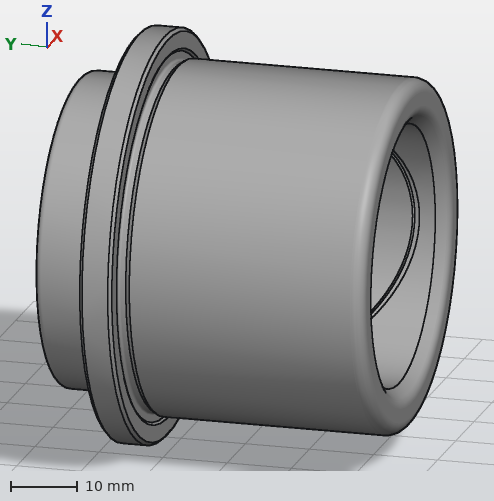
import cadquery as cq
import math


BORE_DIAMETER = 40.0
BODY_DIAMETER = 54.0
NECK_DIAMETER = 53.0
FLANGE_DIAMETER = 63.0
SPIGOT_DIAMETER = 48.0

OVERALL_LENGTH = 52.0
SPIGOT_LENGTH = 9.0
FLANGE_THICKNESS = 5.0
NECK_LENGTH = 0.9

BODY_FRONT_RADIUS = 2.0
BODY_BACK_CHAMFER_LENGTH = 0.7
FLANGE_CHAMFER = 0.5
SPIGOT_ROUND_RADIUS = 1.0

RELIEF_FLOOR_DIAMETER = 56.0
RELIEF_DIAMETER = 56.8
RELIEF_DEPTH = 0.3
RELIEF_ROUND_RADIUS = 0.4

MOUTH_CHAMFER = 2.0
MOUTH_ANGLE = math.radians(45)
MOUTH_ROUND_RADIUS = 2.0

GROOVE_CENTRE_Y = 23.0
GROOVE_HALF_TRAVEL = 18.0
GROOVE_WIDTH = 0.8
GROOVE_DEPTH = 0.3

BORE_RADIUS = BORE_DIAMETER / 2
BODY_RADIUS = BODY_DIAMETER / 2
NECK_RADIUS = NECK_DIAMETER / 2
FLANGE_RADIUS = FLANGE_DIAMETER / 2
SPIGOT_RADIUS = SPIGOT_DIAMETER / 2
FLANGE_BACK = OVERALL_LENGTH - SPIGOT_LENGTH
FLANGE_FRONT = FLANGE_BACK - FLANGE_THICKNESS
RELIEF_FLOOR = FLANGE_FRONT + RELIEF_DEPTH
NECK_FRONT = FLANGE_FRONT - NECK_LENGTH


def revolve_about_axis(profile):
    """Turn a closed X-Y half profile around the Y axis."""
    return profile.close().revolve(360, (0, 0, 0), (0, 1, 0))


def make_outside():
    """Solid turned shape: body, neck, flange with relief, and spigot."""
    profile = (
        cq.Workplane("XY")
        .lineTo(BODY_RADIUS - BODY_FRONT_RADIUS, 0)
        .radiusArc((BODY_RADIUS, BODY_FRONT_RADIUS), -BODY_FRONT_RADIUS)
        .lineTo(BODY_RADIUS, NECK_FRONT - BODY_BACK_CHAMFER_LENGTH)
        .lineTo(NECK_RADIUS, NECK_FRONT)
        .lineTo(NECK_RADIUS, RELIEF_FLOOR - RELIEF_ROUND_RADIUS)
        .radiusArc((NECK_RADIUS + RELIEF_ROUND_RADIUS, RELIEF_FLOOR), RELIEF_ROUND_RADIUS)
        .lineTo(RELIEF_FLOOR_DIAMETER / 2, RELIEF_FLOOR)
        .lineTo(RELIEF_DIAMETER / 2, FLANGE_FRONT)
        .lineTo(FLANGE_RADIUS - FLANGE_CHAMFER, FLANGE_FRONT)
        .lineTo(FLANGE_RADIUS, FLANGE_FRONT + FLANGE_CHAMFER)
        .lineTo(FLANGE_RADIUS, FLANGE_BACK - FLANGE_CHAMFER)
        .lineTo(FLANGE_RADIUS - FLANGE_CHAMFER, FLANGE_BACK)
        .lineTo(SPIGOT_RADIUS, FLANGE_BACK)
        .lineTo(SPIGOT_RADIUS, OVERALL_LENGTH - SPIGOT_ROUND_RADIUS)
        .radiusArc((SPIGOT_RADIUS - SPIGOT_ROUND_RADIUS, OVERALL_LENGTH), -SPIGOT_ROUND_RADIUS)
        .lineTo(0, OVERALL_LENGTH)
    )
    return revolve_about_axis(profile)


def make_bore():
    """Through bore with the rounded and chamfered front mouth."""
    corner_radius = BORE_RADIUS + MOUTH_CHAMFER
    tangent_length = MOUTH_ROUND_RADIUS * math.tan(MOUTH_ANGLE / 2)
    round_leg = tangent_length * math.sin(MOUTH_ANGLE)
    profile = (
        cq.Workplane("XY")
        .lineTo(corner_radius + tangent_length, 0)
        .radiusArc((corner_radius - round_leg, round_leg), MOUTH_ROUND_RADIUS)
        .lineTo(BORE_RADIUS, MOUTH_CHAMFER)
        .lineTo(BORE_RADIUS, OVERALL_LENGTH)
        .lineTo(0, OVERALL_LENGTH)
    )
    return revolve_about_axis(profile)


def make_oil_groove():
    """Thin tilted disc trimmed to just outside the bore surface."""
    slope = GROOVE_HALF_TRAVEL / BORE_RADIUS
    groove_plane = cq.Plane(
        origin=(0, GROOVE_CENTRE_Y, 0),
        xDir=(0, 0, 1),
        normal=(slope, 1, 0),
    )
    disc = cq.Workplane(groove_plane).circle(BODY_DIAMETER).extrude(GROOVE_WIDTH / 2, both=True)
    limit = cq.Workplane("XZ").circle(BORE_RADIUS + GROOVE_DEPTH).extrude(-OVERALL_LENGTH)
    return disc.intersect(limit)


result = make_outside().cut(make_bore()).cut(make_oil_groove())